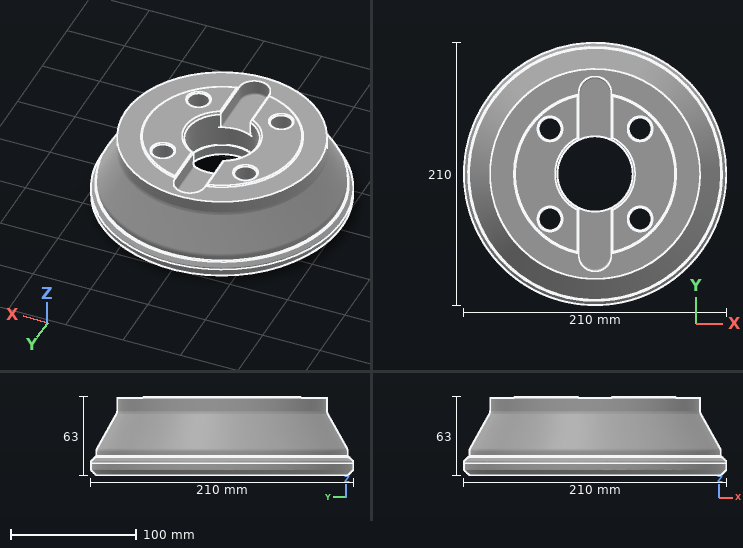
import cadquery as cq

FLANGE_DIAMETER = 210.0
TOTAL_HEIGHT = 63.0

NECK_DIAMETER = 201.3
FLANGE_THICKNESS = 15.5
CONE_BOTTOM_HEIGHT = 20.4
CONE_TOP_HEIGHT = 50.2
COLLAR_DIAMETER = 168.0
CONE_BLEND_RADIUS = 5.0
RIM_BLEND_RADIUS = 0.8

BOSS_DIAMETER = 130.0
BOSS_HEIGHT = 1.0
BOSS_SIDE_ANGLE = 45.0

RING_INNER_DIAMETER = 203.2
RING_BOTTOM_HEIGHT = 9.7

BORE_DIAMETER = 60.0
UPPER_BORE_DIAMETER = 60.2
LOWER_BORE_DIAMETER = 62.0
LOWER_BORE_TOP = 30.2
BORE_TAPER_HEIGHT = 1.0
BORE_CHAMFER = 1.9

RECESS_DIAMETER = 136.9
RECESS_DEPTH = 20.0

SLOT_WIDTH = 26.0
SLOT_LENGTH = 155.7
SLOT_FLOOR_HEIGHT = 48.0
SLOT_FLOOR_RADIUS = 2.0

HOLE_DIAMETER = 18.0
HOLE_SPACING = 72.0
HOLE_CHAMFER = 1.0

FLANGE_RADIUS = FLANGE_DIAMETER / 2
NECK_RADIUS = NECK_DIAMETER / 2
BEVEL = FLANGE_RADIUS - NECK_RADIUS
UPPER_BEVEL_BOTTOM = FLANGE_THICKNESS - BEVEL
COLLAR_TOP = TOTAL_HEIGHT - BOSS_HEIGHT
EDGE_TOLERANCE = 0.02


def edges_round_axis(height):
    """Select the circular edges centred on the Z axis at the given height."""
    return cq.selectors.BoxSelector(
        (-EDGE_TOLERANCE, -EDGE_TOLERANCE, height - EDGE_TOLERANCE),
        (EDGE_TOLERANCE, EDGE_TOLERANCE, height + EDGE_TOLERANCE),
    )


def make_blank():
    """Solid of revolution enclosed by the outside of both bodies, below the raised face."""
    blank = (
        cq.Workplane("XZ")
        .moveTo(0, 0)
        .lineTo(NECK_RADIUS, 0)
        .lineTo(FLANGE_RADIUS, BEVEL)
        .lineTo(FLANGE_RADIUS, UPPER_BEVEL_BOTTOM)
        .lineTo(NECK_RADIUS, FLANGE_THICKNESS)
        .lineTo(NECK_RADIUS, CONE_BOTTOM_HEIGHT)
        .lineTo(COLLAR_DIAMETER / 2, CONE_TOP_HEIGHT)
        .lineTo(COLLAR_DIAMETER / 2, COLLAR_TOP)
        .lineTo(0, COLLAR_TOP)
        .close()
        .revolve(360, (0, 0, 0), (0, 1, 0))
    )
    for height in (CONE_BOTTOM_HEIGHT, CONE_TOP_HEIGHT):
        blank = blank.edges(edges_round_axis(height)).fillet(CONE_BLEND_RADIUS)
    for height in (BEVEL, UPPER_BEVEL_BOTTOM):
        blank = blank.edges(edges_round_axis(height)).fillet(RIM_BLEND_RADIUS)
    return blank


def make_ring_space():
    """Tube, wider than the flange, that separates the rim ring from the wheel body."""
    return (
        cq.Workplane("XY", origin=(0, 0, RING_BOTTOM_HEIGHT))
        .circle(FLANGE_DIAMETER)
        .circle(RING_INNER_DIAMETER / 2)
        .extrude(FLANGE_THICKNESS - RING_BOTTOM_HEIGHT)
    )


def make_boss():
    """Raised round face with a sloping side."""
    return (
        cq.Workplane("XY", origin=(0, 0, COLLAR_TOP))
        .circle(BOSS_DIAMETER / 2)
        .extrude(BOSS_HEIGHT, taper=BOSS_SIDE_ANGLE)
    )


def make_bore():
    """Stepped central bore together with the recess in the underside."""
    upper_radius = UPPER_BORE_DIAMETER / 2
    bore_radius = BORE_DIAMETER / 2
    lower_radius = LOWER_BORE_DIAMETER / 2
    recess_radius = RECESS_DIAMETER / 2
    return (
        cq.Workplane("XZ")
        .moveTo(0, 0)
        .lineTo(recess_radius, 0)
        .lineTo(recess_radius, RECESS_DEPTH)
        .lineTo(lower_radius, RECESS_DEPTH)
        .lineTo(lower_radius, LOWER_BORE_TOP)
        .lineTo(bore_radius, LOWER_BORE_TOP)
        .lineTo(bore_radius, SLOT_FLOOR_HEIGHT - BORE_TAPER_HEIGHT)
        .lineTo(upper_radius, SLOT_FLOOR_HEIGHT)
        .lineTo(upper_radius, TOTAL_HEIGHT - BORE_CHAMFER)
        .lineTo(upper_radius + BORE_CHAMFER, TOTAL_HEIGHT)
        .lineTo(0, TOTAL_HEIGHT)
        .close()
        .revolve(360, (0, 0, 0), (0, 1, 0))
    )


def make_slot():
    """Round-ended slot along Y with a rounded floor, flaring outward through the raised face."""
    channel = (
        cq.Workplane("XY", origin=(0, 0, SLOT_FLOOR_HEIGHT))
        .slot2D(SLOT_LENGTH, SLOT_WIDTH, 90)
        .extrude(TOTAL_HEIGHT - SLOT_FLOOR_HEIGHT)
        .faces("<Z")
        .edges()
        .fillet(SLOT_FLOOR_RADIUS)
    )
    flare = (
        cq.Workplane("XY", origin=(0, 0, COLLAR_TOP))
        .slot2D(SLOT_LENGTH, SLOT_WIDTH, 90)
        .extrude(BOSS_HEIGHT, taper=-BOSS_SIDE_ANGLE)
    )
    return channel.union(flare)


def make_hole(x, y):
    """Through hole with a countersunk top edge."""
    radius = HOLE_DIAMETER / 2
    return (
        cq.Workplane("XZ")
        .moveTo(0, 0)
        .lineTo(radius, 0)
        .lineTo(radius, TOTAL_HEIGHT - HOLE_CHAMFER)
        .lineTo(radius + HOLE_CHAMFER, TOTAL_HEIGHT)
        .lineTo(0, TOTAL_HEIGHT)
        .close()
        .revolve(360, (0, 0, 0), (0, 1, 0))
        .translate((x, y, 0))
    )


def make_wheel():
    """Wheel body with its seat for the rim ring, bore, slot and mounting holes."""
    wheel = make_blank().cut(make_ring_space()).union(make_boss())
    wheel = wheel.cut(make_slot()).cut(make_bore())
    for x in (-HOLE_SPACING / 2, HOLE_SPACING / 2):
        for y in (-HOLE_SPACING / 2, HOLE_SPACING / 2):
            wheel = wheel.cut(make_hole(x, y))
    return wheel


def make_rim_ring():
    """Ring that forms the upper outer corner of the flange."""
    return make_blank().intersect(make_ring_space())


wheel = make_wheel()
rim_ring = make_rim_ring()

result = cq.Compound.makeCompound([wheel.solids().val(), rim_ring.solids().val()])